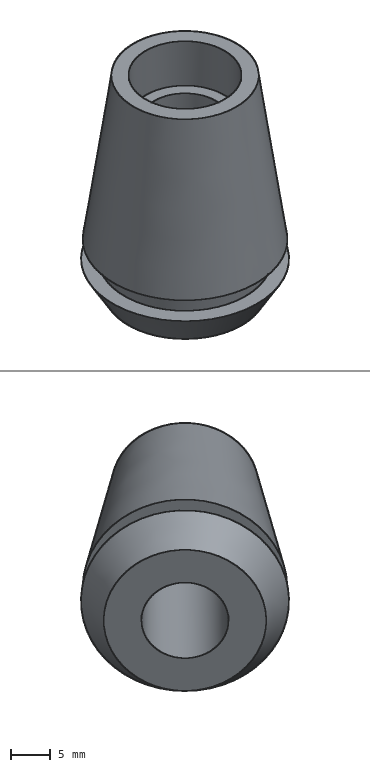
import cadquery as cq
import math

total_height = 34.0
collar_height = 5.0
groove_width = 3.13
counterbore_depth = 7.0

collar_radius = 13.15
collar_angle = 30.0
groove_radius = 10.98
cone_base_radius = 12.95
cone_angle = 8.0
bore_radius = 5.5
counterbore_radius = 7.15

cone_base_z = collar_height + groove_width
collar_base_radius = collar_radius - collar_height * math.tan(math.radians(collar_angle))
cone_top_radius = cone_base_radius - (total_height - cone_base_z) * math.tan(math.radians(cone_angle))
counterbore_floor_z = total_height - counterbore_depth

half_section = [
    (bore_radius, 0),
    (collar_base_radius, 0),
    (collar_radius, collar_height),
    (groove_radius, collar_height),
    (groove_radius, cone_base_z),
    (cone_base_radius, cone_base_z),
    (cone_top_radius, total_height),
    (counterbore_radius, total_height),
    (counterbore_radius, counterbore_floor_z),
    (bore_radius, counterbore_floor_z),
]

result = cq.Workplane("XZ").polyline(half_section).close().revolve(360, (0, 0), (0, 1))